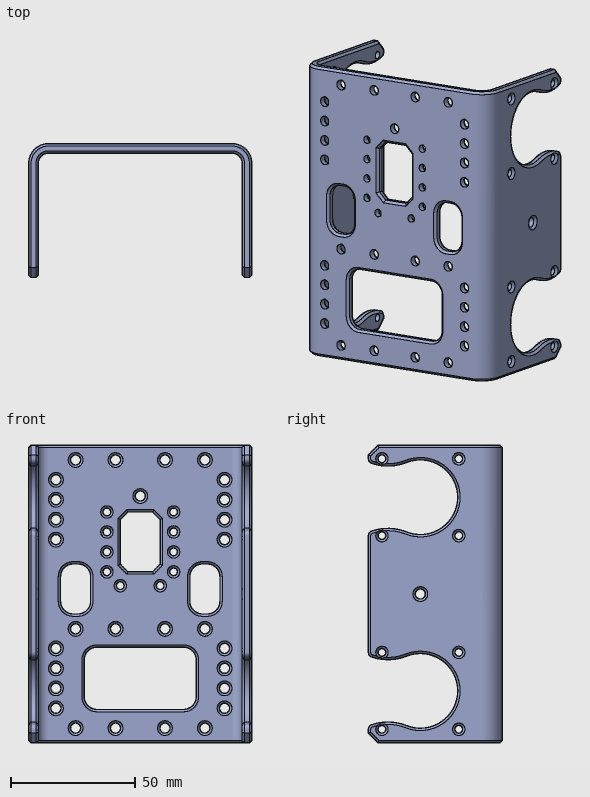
import cadquery as cq
import math

width = 90.0
depth = 54.0
height = 120.0
thickness = 4.0
bend_radius = 8.0
edge_chamfer = 1.0
overlap = 1.2

back_y = depth / 2
front_y = -depth / 2
back_inner_y = back_y - thickness
wall_outer_x = width / 2

large_hole = 4.0
small_hole = 3.0

mount_z = 39.0
mount_y = back_y - 33.0
mount_pitch = 31.0
opening_radius = 15.0
mouth_half_width = 12.5
flare_radius = 20.0
mouth_corner_radius = 2.0
tip_chamfer = 4.0

center_window_width = 16.0
center_window_height = 24.0
center_window_z = 21.0
center_window_corner = 3.0
slot_width = 12.0
slot_height = 20.0
slot_x = 26.0
slot_z = 2.0
lower_window_width = 45.0
lower_window_height = 25.0
lower_window_z = -34.0
window_corner_radius = 5.0

row_inner_x = 10.0
row_outer_x = 26.0
row_end_z = 54.0
row_middle_z = -14.0
hole_pitch = 8.0
column_x = 34.0
column_mid_z = 34.0
column_count = 4
upper_hole_z = 39.5
inner_column_x = 13.5
pair_x = 8.0
pair_z = 3.4


def channel():
    """Bent plate without any openings."""
    outer = (
        cq.Workplane("XY")
        .box(width, depth, height)
        .edges("|Z and >Y")
        .fillet(bend_radius)
    )
    inner = (
        cq.Workplane("XY")
        .box(width - 2 * thickness, depth, height + 2 * overlap)
        .translate((0, -thickness, 0))
        .edges("|Z and >Y")
        .fillet(bend_radius - thickness)
    )
    tips = cq.Workplane("XY").box(width, depth, height).edges("|X and <Y").chamfer(tip_chamfer)
    return outer.cut(inner).intersect(tips)


def mount_opening(z):
    """Opening through both walls: an arc that flares into the mouth at the wall's front edge."""
    flare_z = mouth_half_width + flare_radius
    flare_y = math.sqrt((opening_radius + flare_radius) ** 2 - flare_z**2)
    share = opening_radius / (opening_radius + flare_radius)
    joint = (flare_y * share, flare_z * share)
    reach = mount_y - front_y
    corner_y = reach - mouth_corner_radius
    corner_gap = flare_radius - mouth_corner_radius
    corner_z = flare_z - math.sqrt(corner_gap**2 - (corner_y - flare_y) ** 2)
    growth = flare_radius / corner_gap
    corner_start = (
        flare_y + (corner_y - flare_y) * growth,
        flare_z + (corner_z - flare_z) * growth,
    )
    start_angle = math.atan2(corner_start[1] - corner_z, corner_start[0] - corner_y)
    corner_mid = (
        corner_y + mouth_corner_radius * math.cos(start_angle / 2),
        corner_z + mouth_corner_radius * math.sin(start_angle / 2),
    )
    corner_end = (reach, corner_z)

    def at(point, side=1):
        return (mount_y - point[0], z + side * point[1])

    return (
        cq.Workplane("YZ", origin=(-width, 0, 0))
        .moveTo(*at(joint))
        .threePointArc(at((-opening_radius, 0)), at(joint, -1))
        .threePointArc(at((flare_y, mouth_half_width), -1), at(corner_start, -1))
        .threePointArc(at(corner_mid, -1), at(corner_end, -1))
        .lineTo(*at((reach + overlap, corner_z), -1))
        .lineTo(*at((reach + overlap, corner_z)))
        .lineTo(*at(corner_end))
        .threePointArc(at(corner_mid), at(corner_start))
        .threePointArc(at((flare_y, mouth_half_width)), at(joint))
        .close()
        .extrude(2 * width)
    )


def window(x, z, size_x, size_z):
    """Block that cuts a rectangular window through the back plate."""
    return cq.Workplane("XY").box(size_x, 2 * bend_radius, size_z).translate((x, back_y, z))


def is_rim(edge):
    """True for edges along a rim; false for bend lines and edges across the thickness."""
    tolerance = 0.001
    bend_line = abs(edge.Length() - height) < tolerance
    across = edge.geomType() == "LINE" and abs(edge.Length() - thickness) < tolerance
    return not (bend_line or across)


def screw_hole(diameter, mouth, direction):
    """Through hole whose countersink opens at the mouth; direction points into the plate."""
    radius = diameter / 2
    start = cq.Vector(*mouth)
    axis = cq.Vector(*direction)
    shank = cq.Solid.makeCylinder(radius, thickness + overlap, start, axis)
    countersink = cq.Solid.makeCone(radius + edge_chamfer, radius, edge_chamfer, start, axis)
    return shank.fuse(countersink)


def back_holes():
    """Holes in the back plate, countersunk on the inside."""
    large = [(0, upper_hole_z)]
    small = []
    for side in (-1, 1):
        for z in (row_end_z, row_middle_z, -row_end_z):
            large += [(side * row_inner_x, z), (side * row_outer_x, z)]
        for i in range(column_count):
            step = (i - (column_count - 1) / 2) * hole_pitch
            large += [(side * column_x, column_mid_z + step), (side * column_x, -column_mid_z + step)]
            small.append((side * inner_column_x, center_window_z + step))
        small.append((side * pair_x, pair_z))
    holes = []
    for diameter, places in ((large_hole, large), (small_hole, small)):
        holes += [screw_hole(diameter, (x, back_inner_y, z), (0, 1, 0)) for x, z in places]
    return holes


def wall_holes():
    """Holes in the side walls, countersunk on the outside."""
    half_pitch = mount_pitch / 2
    holes = []
    for side in (-1, 1):
        face_x = side * wall_outer_x
        inward = (-side, 0, 0)
        holes.append(screw_hole(large_hole, (face_x, mount_y, 0), inward))
        for center_z in (-mount_z, mount_z):
            for dy in (-half_pitch, half_pitch):
                for dz in (-half_pitch, half_pitch):
                    mouth = (face_x, mount_y + dy, center_z + dz)
                    holes.append(screw_hole(small_hole, mouth, inward))
    return holes


body = channel()
for z in (-mount_z, mount_z):
    body = body.cut(mount_opening(z))

center_window = window(0, center_window_z, center_window_width, center_window_height)
body = body.cut(center_window.edges("|Y").chamfer(center_window_corner))

lower_window = window(0, lower_window_z, lower_window_width, lower_window_height)
body = body.cut(lower_window.edges("|Y").fillet(window_corner_radius))

for x in (-slot_x, slot_x):
    slot = window(x, slot_z, slot_width, slot_height)
    body = body.cut(slot.edges("|Y").fillet(window_corner_radius))

rims = [edge for edge in body.edges().vals() if is_rim(edge)]
body = body.newObject(rims).chamfer(edge_chamfer)

plate = body.val()
result = cq.Workplane("XY").newObject([plate.cut(*back_holes(), *wall_holes())])